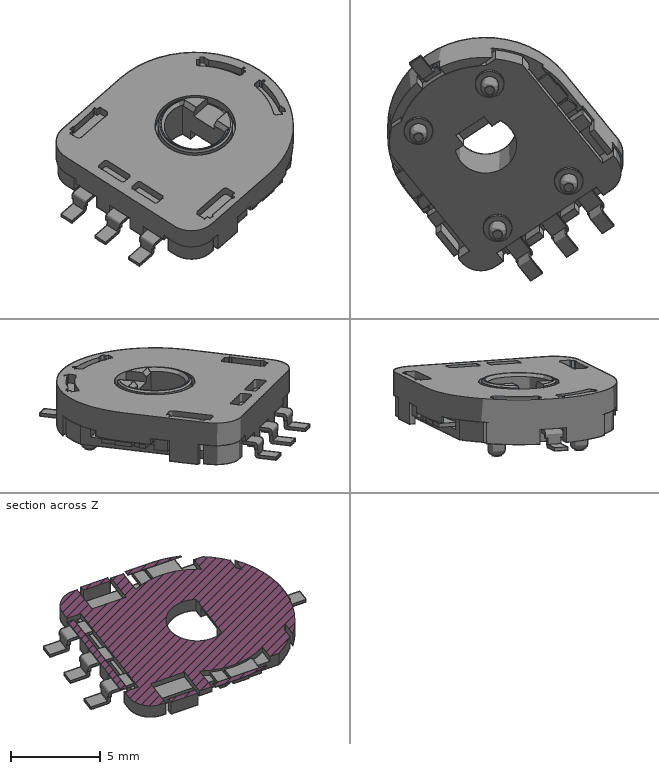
import cadquery as cq
import math


cover_r = 5.5
front_y = -6.51
corner_r = 1.49
cover_top = 2.56
split_z = 1.2

base_inset = 0.1
base_bottom = 0.05
ledge_z = 0.54

side_flat_x = 4.62
side_flat_front = -4.77
side_flat_rear = 2.83
window_rear = 2.19
window_depth = 1.05
post_front = -2.65
post_rear = -1.85
cavity_r = 4.32

strip_top = 0.76
strip_x = 5.36
strip_step = 0.07
strip_slope = 0.15
rear_strip_ys = (1.31, 0.49, -0.49)
front_strip_ys = (-0.63, -0.98, -1.33)

side_skirt_half = 1.68
side_skirt_z = 0.86
skirt_thick = 0.35
side_leg_front = -4.5
side_leg_rear = -2.79
front_recess_half = 3.47
front_recess_depth = 0.75
front_window_depth = 0.97
front_leg_thick = 0.42
front_skirt_half = 3.25
end_skirt_z = 0.85
front_leg_inner = 0.75
front_leg_outer = 1.71
rear_leg_r = 4.96
rear_leg_inner = 0.79
rear_leg_y = 4.22
rear_gap = 0.22

pocket_depth = 0.52
pocket_floor = cover_top - pocket_depth
front_pocket_x = 1.22
front_pocket_y = -5.56
front_pocket_size = (1.86, 0.69)
front_pocket_r = 0.13
side_pocket_inner = 4.28
side_pocket_outer = 4.96
side_pocket_front = -5.0
side_pocket_rear = -2.43
side_pocket_r = 0.21
leg_face_x = 5.1
leg_notch_x = 5.15
rear_pocket_r = 4.48
rear_notch_r = 5.15
rear_pocket_end_x = 0.5
rear_pocket_angle = 39.6
rear_notch_angle = 37.6
rear_notch_width = 0.1
rear_pocket_corner = 0.13

rotor_top = 2.7
rotor_r = 2.09
rotor_chamfer = 0.1
gap_r = 2.25
gap_floor = 2.05
bore_r = 1.73
bore_chamfer = 0.18
key_flat_y = 0.75
key_chamfer = 0.24
key_slot_half = 0.75
key_slot_floor = 2.16
key_relief_half = 0.98
key_relief_depth = 0.75
key_relief_top = 0.75

pin_x = 2.47
pin_ys = (-4.5, 3.0)
flange_r = 0.8
flange_bottom = -0.15
pin_r = 0.49
pin_shoulder_z = -0.64
pin_tip_r = 0.27
pin_tip_z = -0.9
pin_dome = (0.42, -0.8)
pin_bottom = -0.95

sheet = 0.2
terminal_top = 0.76
terminal_bend = 0.24
terminal_step_z = 0.35
side_terminal_x = 2.49
side_terminal_widths = (1.0, 0.8)
mid_terminal_widths = (1.05, 0.79)
front_riser_y = -7.15
front_foot_y = -8.21
rear_riser_y = 5.62
rear_foot_y = 6.69


def box(x0, x1, y0, y1, z0, z1):
    """Box spanning the given limits along X, Y and Z."""
    return cq.Workplane("XY").box(x1 - x0, y1 - y0, z1 - z0, centered=False).translate((x0, y0, z0))


def disc(radius, z0, z1):
    """Cylinder about the Z axis."""
    return cq.Workplane("XY").workplane(offset=z0).circle(radius).extrude(z1 - z0)


def both_sides(shape):
    """The shape together with its mirror image across X = 0."""
    return shape.union(shape.mirror("YZ"))


def body(inset, z0, z1):
    """Prism with the cover outline, moved inwards by an inset."""
    r = cover_r - inset
    y = front_y + inset
    outline = (
        cq.Workplane("XY").workplane(offset=z0)
        .moveTo(r, 0).threePointArc((0, r), (-r, 0))
        .lineTo(-r, y).lineTo(r, y).close()
    )
    return outline.extrude(z1 - z0).edges("|Z and <Y").fillet(corner_r - inset)


def make_base():
    base = body(base_inset, base_bottom, split_z)

    flat = box(side_flat_x, cover_r, side_flat_front, side_flat_rear, base_bottom, split_z)
    window = box(side_flat_x - window_depth, side_flat_x, side_flat_front, window_rear, ledge_z, split_z)
    window = window.cut(disc(cavity_r, ledge_z, split_z))
    post = box(side_flat_x - window_depth, cover_r, post_front, post_rear, ledge_z, split_z)
    base = base.cut(both_sides(flat.union(window).cut(post)))

    recess_y = front_y + front_recess_depth
    window_y = front_y + front_window_depth
    half = front_recess_half
    base = base.cut(box(-half, half, front_y, recess_y, base_bottom, split_z))
    base = base.cut(box(-half, half, front_y, window_y, ledge_z, split_z))

    rear_recess = box(-cover_r, cover_r, rear_leg_y - rear_gap, cover_r, base_bottom, split_z)
    return base.cut(rear_recess.cut(disc(rear_leg_r, base_bottom, split_z)))


def make_strips():
    """Contact strips of both sides: a stepped one at the rear, a sloped one at the front."""
    root = side_flat_x - window_depth
    back_x = strip_x - strip_step
    y0, y1, y2 = rear_strip_ys
    rear = [(root, y0), (back_x, y0), (back_x, y1), (strip_x, y1), (strip_x, y2), (root, y2)]
    y0, y1, y2 = front_strip_ys
    front = [(root, y0), (strip_x - strip_slope, y0), (strip_x, y1), (strip_x, y2), (root, y2)]
    plane = cq.Workplane("XY").workplane(offset=ledge_z)
    strips = plane.polyline(rear).close().polyline(front).close().extrude(strip_top - ledge_z)
    return both_sides(strips)


def make_skirts_and_legs():
    skirt_x = cover_r - skirt_thick
    side = box(skirt_x, cover_r, -side_skirt_half, side_skirt_half, side_skirt_z, split_z)
    side = side.union(box(skirt_x, cover_r, side_leg_front, side_leg_rear, 0, split_z))

    inner_y = front_y + front_leg_thick
    front = box(0, front_skirt_half, front_y, inner_y, end_skirt_z, split_z)
    front = front.union(box(front_leg_inner, front_leg_outer, front_y, inner_y, 0, split_z))

    rear = box(rear_leg_inner, cover_r, rear_leg_y, cover_r, 0, split_z)
    rear = rear.union(box(0, rear_leg_inner, rear_leg_y, cover_r, end_skirt_z, split_z))
    rear = rear.cut(disc(rear_leg_r, 0, split_z))

    return both_sides(side.union(front).union(rear)).intersect(body(0, 0, split_z))


def make_front_pocket():
    return (
        cq.Workplane("XY").workplane(offset=pocket_floor)
        .center(front_pocket_x, front_pocket_y).rect(*front_pocket_size)
        .extrude(pocket_depth).edges("|Z").fillet(front_pocket_r)
    )


def make_side_pocket():
    """Pocket behind a side leg, with a narrow notch at each end of the leg."""
    pocket = box(
        side_pocket_inner, side_pocket_outer, side_pocket_front, side_pocket_rear, pocket_floor, cover_top
    ).edges("|Z and <X").fillet(side_pocket_r)
    face = box(
        side_pocket_inner + side_pocket_r, leg_face_x, side_leg_front, side_leg_rear, pocket_floor, cover_top
    )
    pocket = pocket.union(face)
    for y0, y1 in ((side_flat_front, side_leg_front), (side_leg_rear, post_front)):
        pocket = pocket.union(
            box(side_pocket_outer - side_pocket_r, leg_notch_x, y0, y1, pocket_floor, cover_top)
        )
    return pocket


def wedge(angle):
    """Triangular prism from the Z axis, spanning an angle from +Y towards +X."""
    reach = 2 * cover_r
    a = math.radians(angle)
    tip = (reach * math.sin(a), reach * math.cos(a))
    return (
        cq.Workplane("XY").workplane(offset=pocket_floor)
        .polyline([(0, 0), (0, reach), tip]).close().extrude(pocket_depth)
    )


def make_rear_pocket():
    """Curved pocket behind a rear leg, with a narrow notch at each end of the leg."""
    inner_disc = disc(rear_pocket_r, pocket_floor, cover_top)
    pocket = disc(rear_leg_r, pocket_floor, cover_top).cut(inner_disc)
    pocket = pocket.intersect(wedge(rear_pocket_angle))
    pocket = pocket.cut(box(0, rear_pocket_end_x, 0, cover_r, pocket_floor, cover_top))
    a = math.radians(rear_pocket_angle)
    mid_z = pocket_floor + pocket_depth / 2
    for x, y in (
        (rear_pocket_end_x, math.sqrt(rear_pocket_r**2 - rear_pocket_end_x**2)),
        (rear_pocket_r * math.sin(a), rear_pocket_r * math.cos(a)),
    ):
        pocket = pocket.edges(cq.selectors.NearestToPointSelector((x, y, mid_z))).fillet(rear_pocket_corner)

    notch_limit = disc(rear_notch_r, pocket_floor, cover_top).cut(inner_disc)
    end_notch = notch_limit.intersect(wedge(rear_notch_angle))
    end_notch = end_notch.intersect(
        box(rear_leg_inner, cover_r, 0, rear_leg_y, pocket_floor, cover_top)
    ).cut(disc((rear_pocket_r + rear_leg_r) / 2, pocket_floor, cover_top))
    mid_notch = notch_limit.intersect(
        box(rear_leg_inner - rear_notch_width, rear_leg_inner, 0, cover_r, pocket_floor, cover_top)
    )
    return pocket.union(end_notch).union(mid_notch)


def make_cover():
    cover = body(0, split_z, cover_top)
    pockets = make_front_pocket().union(make_side_pocket()).union(make_rear_pocket())
    return cover.cut(both_sides(pockets))


def add_rotor(shape):
    """Rotor ring standing in a gap in the cover, with a keyed bore through the part."""
    gap = disc(gap_r, gap_floor, cover_top)
    ring = disc(rotor_r, gap_floor, rotor_top).faces(">Z").chamfer(rotor_chamfer)
    bore = disc(bore_r, base_bottom, rotor_top)
    lead_in = (
        cq.Workplane("XY").workplane(offset=rotor_top).circle(bore_r + bore_chamfer)
        .workplane(offset=-bore_chamfer).circle(bore_r).loft()
    )
    key = box(-gap_r, gap_r, key_flat_y, gap_r, base_bottom, rotor_top)
    key = key.edges("<Y and >Z").chamfer(key_chamfer)
    slot = box(-key_slot_half, key_slot_half, 0, gap_r, key_slot_floor, rotor_top)
    slot = slot.intersect(disc(rotor_r, key_slot_floor, rotor_top))
    relief_y = key_flat_y + key_relief_depth
    relief = box(-key_relief_half, key_relief_half, key_flat_y, relief_y, base_bottom, key_relief_top)
    keyed_bore = bore.union(lead_in).cut(key)
    return shape.cut(gap).union(ring).cut(keyed_bore).cut(slot).cut(relief)


def make_pin():
    """Revolved locating pin below its flange."""
    return (
        cq.Workplane("XZ")
        .polyline([
            (0, base_bottom), (flange_r, base_bottom), (flange_r, flange_bottom),
            (pin_r, flange_bottom), (pin_r, pin_shoulder_z),
        ])
        .threePointArc(pin_dome, (pin_tip_r, pin_tip_z))
        .lineTo(pin_tip_r, pin_bottom).lineTo(0, pin_bottom)
        .close().revolve(360, (0, 0, 0), (0, 1, 0))
    )


def make_terminal(x, root_y, riser_y, foot_y, widths):
    """Bent sheet terminal: a wide upper part, then a narrower riser and foot."""
    out = math.copysign(1, foot_y)
    inner_y = riser_y - out * sheet
    profile = (
        cq.Workplane("YZ")
        .polyline([
            (root_y, terminal_top), (riser_y, terminal_top), (riser_y, 0), (foot_y, 0),
            (foot_y, -sheet), (inner_y, -sheet), (inner_y, terminal_top - sheet),
            (root_y, terminal_top - sheet),
        ])
        .close()
    )
    wide, narrow = widths
    strip = profile.extrude(wide / 2, both=True)
    top_corner = cq.selectors.NearestToPointSelector((0, riser_y, terminal_top))
    foot_corner = cq.selectors.NearestToPointSelector((0, inner_y, -sheet))
    strip = strip.edges(top_corner).fillet(terminal_bend).edges(foot_corner).fillet(sheet)
    reach = abs(foot_y)
    for x0, x1 in ((-wide, -narrow / 2), (narrow / 2, wide)):
        strip = strip.cut(box(x0, x1, -reach, reach, -sheet, terminal_step_z))
    return strip.translate((x, 0, 0))


result = make_base().union(make_strips()).union(make_skirts_and_legs()).union(make_cover())
result = add_rotor(result)
for y in pin_ys:
    for x in (-pin_x, pin_x):
        result = result.union(make_pin().translate((x, y, 0)))

front_root_y = front_y + front_window_depth + sheet
for x, widths in (
    (-side_terminal_x, side_terminal_widths),
    (0, mid_terminal_widths),
    (side_terminal_x, side_terminal_widths),
):
    result = result.union(make_terminal(x, front_root_y, front_riser_y, front_foot_y, widths))
result = result.union(make_terminal(0, rear_leg_r - sheet, rear_riser_y, rear_foot_y, mid_terminal_widths))